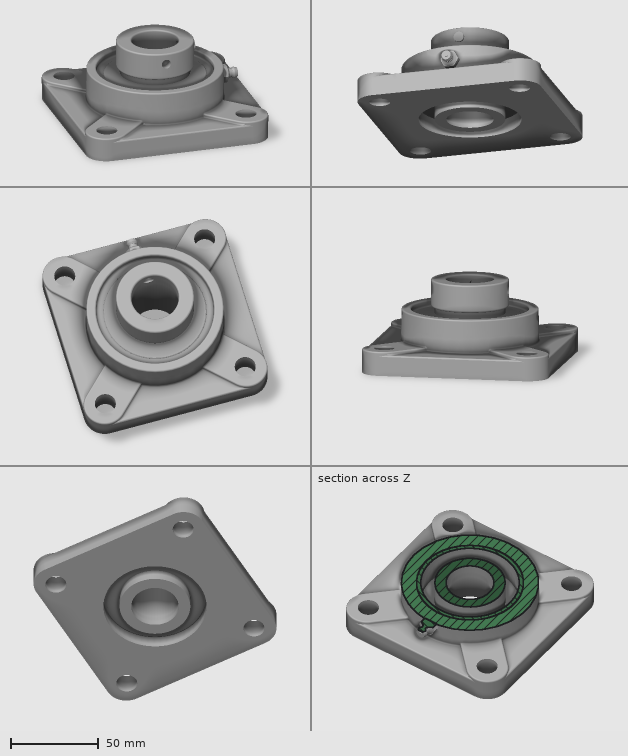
import cadquery as cq
import math

plate_side = 108.0
plate_height = 11.9
pad_height = 13.8
pad_angles = (45, 135, 225, 315)
corner_radius = 12.0
bolt_hole_diameter = 12.0
bolt_hole_offset = 41.5
pad_foot_start = 36.2
cast_fillet = 0.9

boss_height = 31.1
boss_top_radius = 39.1
boss_base_radius = 39.6
recess_floor = 27.3
recess_diameter = 67.3
recess_fillet = 1.0
mouth_diameter = 69.1

bearing_height = 17.9
ring_width = 19.7
ring_sphere_radius = 31.0
ring_bore_diameter = 55.8
ring_edge_chamfer = 0.4
inner_ring_length = 2 * bearing_height
neck_diameter = 40.3
shaft_diameter = 27.0
seal_thickness = 1.1
seal_bulge = 0.5

collar_diameter = 44.5
collar_bottom = 32.1
collar_top = 48.1
collar_top_fillet = 1.0
collar_bottom_fillet = 1.3
drive_hole_diameter = 5.4
drive_hole_height = 41.7
drive_hole_depth = 4.3
screw_diameter = 6.0
screw_height = 42.1
screw_inner_end = 17.9
screw_outer_end = 23.1

nipple_height = 21.9
hex_across_corners = 10.8
hex_chamfer = 0.4
hex_inner_end = 38.8
hex_outer_end = 42.4
shoulder_diameter = 8.9
nipple_neck_diameter = 5.0
head_edge_diameter = 5.4
head_diameter = 6.5
tip_diameter = 2.5
shoulder_end = 43.7
neck_start = 44.6
head_start = 45.5
head_middle = 46.8
head_end = 48.7
tip_end = 49.1

ring_top = bearing_height + ring_width / 2
ring_bottom = bearing_height - ring_width / 2
pad_reach = math.sqrt(2) * (plate_side / 2 - corner_radius)
mouth_fillet = (mouth_diameter - recess_diameter) / 2
seat_edge_radius = math.sqrt(ring_sphere_radius**2 - (ring_width / 2) ** 2)


def disc(radius, bottom, top):
    """Solid cylinder on the Z axis between two heights."""
    return cq.Workplane("XY", origin=(0, 0, bottom)).circle(radius).extrude(top - bottom)


def rounded_square(side, height, radius):
    """Square block on the base plane with rounded vertical edges."""
    return cq.Workplane("XY").rect(side, side).extrude(height).edges("|Z").fillet(radius)


def make_plate():
    plate = rounded_square(plate_side, plate_height, corner_radius)
    return plate.faces(">Z").edges().fillet(cast_fillet)


def make_pad(angle):
    """Raised pad from the plate centre to one corner, with the corner's own radius."""
    pad = (
        cq.Workplane("XY")
        .moveTo(0, -corner_radius)
        .lineTo(pad_reach, -corner_radius)
        .threePointArc((pad_reach + corner_radius, 0), (pad_reach, corner_radius))
        .lineTo(0, corner_radius)
        .close()
        .extrude(pad_height)
    )
    pad = pad.faces(">Z").edges("not <X").fillet(cast_fillet)
    return pad.rotate((0, 0, 0), (0, 0, 1), angle)


def make_pad_foot(angle):
    """Concave strip that rounds the two sides and the outer end of a pad into the plate."""
    inner = corner_radius - cast_fillet / 2
    outer = corner_radius + cast_fillet
    sag = cast_fillet * (1 - math.sqrt(0.5))
    section = (
        cq.Workplane("YZ", origin=(pad_reach, 0, 0))
        .moveTo(inner, plate_height)
        .lineTo(outer, plate_height)
        .threePointArc(
            (corner_radius + sag, plate_height + sag), (corner_radius, plate_height + cast_fillet)
        )
        .lineTo(inner, plate_height + cast_fillet)
        .close()
    )
    side = section.extrude(pad_foot_start - pad_reach)
    end = section.toPending().revolve(180, (0, 0, 0), (0, -1, 0))
    foot = side.union(side.mirror("XZ")).union(end).rotate((0, 0, 0), (0, 0, 1), angle)
    flat_side = plate_side - 2 * cast_fillet
    return foot.intersect(rounded_square(flat_side, pad_height, corner_radius - cast_fillet))


def make_boss():
    boss = (
        cq.Workplane("XZ")
        .lineTo(boss_base_radius, 0)
        .lineTo(boss_top_radius, boss_height)
        .lineTo(0, boss_height)
        .close()
        .revolve(360, (0, 0, 0), (0, 1, 0))
    )
    return boss.faces(">Z").edges().fillet(cast_fillet)


def make_recess():
    """Pocket above the bearing, rounded at its floor and widened by a round at its mouth."""
    wall = recess_diameter / 2
    sag = mouth_fillet * (1 - math.sqrt(0.5))
    recess = disc(wall, recess_floor, boss_height).faces("<Z").edges().fillet(recess_fillet)
    mouth = (
        cq.Workplane("XZ")
        .moveTo(0, boss_height - mouth_fillet)
        .lineTo(wall, boss_height - mouth_fillet)
        .threePointArc((wall + sag, boss_height - sag), (wall + mouth_fillet, boss_height))
        .lineTo(0, boss_height)
        .close()
        .revolve(360, (0, 0, 0), (0, 1, 0))
    )
    return recess.union(mouth)


def make_seat():
    """Spherical bearing seat, open below through a plain bore."""
    sphere = cq.Workplane("XY", origin=(0, 0, bearing_height)).sphere(ring_sphere_radius)
    seat = sphere.intersect(disc(ring_sphere_radius, ring_bottom, ring_top))
    return seat.union(disc(seat_edge_radius, 0, ring_bottom))


def is_boss_foot(edge):
    """True for an edge where the boss wall meets the plate or a pad."""
    ends = (edge.startPoint(), edge.endPoint())
    on_wall = all(boss_top_radius < math.hypot(end.x, end.y) < boss_base_radius for end in ends)
    box = edge.BoundingBox()
    tolerance = cast_fillet / 8
    return on_wall and box.zmin > plate_height - tolerance and box.zmax < pad_height + tolerance


def make_housing(nipple):
    body = make_plate()
    for angle in pad_angles:
        body = body.union(make_pad(angle))
    body = body.union(make_boss())
    body = body.edges().filter(is_boss_foot).fillet(cast_fillet)
    for angle in pad_angles:
        body = body.union(make_pad_foot(angle))
    body = body.cut(make_recess()).cut(make_seat())
    holes = (
        cq.Workplane("XY")
        .rect(2 * bolt_hole_offset, 2 * bolt_hole_offset, forConstruction=True)
        .vertices()
        .circle(bolt_hole_diameter / 2)
        .extrude(pad_height)
    )
    return body.cut(holes).cut(nipple)


def make_outer_ring():
    sphere = cq.Workplane("XY", origin=(0, 0, bearing_height)).sphere(ring_sphere_radius)
    ring = sphere.intersect(disc(ring_sphere_radius, ring_bottom, ring_top))
    ring = ring.faces("<Z or >Z").edges().chamfer(ring_edge_chamfer)
    return ring.cut(disc(ring_bore_diameter / 2, ring_bottom, ring_top))


def make_inner_ring():
    ring = disc(neck_diameter / 2, 0, inner_ring_length)
    return ring.cut(disc(shaft_diameter / 2, 0, inner_ring_length))


def make_upper_seal():
    """Slightly domed washer that fills the gap between the two rings at their top."""
    inner_radius = neck_diameter / 2
    outer_radius = ring_bore_diameter / 2
    return (
        cq.Workplane("XZ")
        .moveTo(inner_radius, ring_top - seal_thickness)
        .lineTo(outer_radius, ring_top - seal_thickness)
        .lineTo(outer_radius, ring_top)
        .lineTo(inner_radius, ring_top + seal_bulge)
        .close()
        .revolve(360, (0, 0, 0), (0, 1, 0))
    )


def make_screw():
    length = screw_outer_end - screw_inner_end
    plane = cq.Workplane("XZ", origin=(0, screw_outer_end, screw_height))
    return plane.circle(screw_diameter / 2).extrude(length)


def make_collar():
    collar = disc(collar_diameter / 2, collar_bottom, collar_top)
    collar = collar.faces(">Z").edges().fillet(collar_top_fillet)
    collar = collar.faces("<Z").edges().fillet(collar_bottom_fillet)
    collar = collar.cut(disc(shaft_diameter / 2, collar_bottom, collar_top))
    bore_rim = cq.selectors.RadiusNthSelector(0)
    collar = collar.faces(">Z").edges(bore_rim).fillet(collar_top_fillet)
    collar = collar.cut(disc(neck_diameter / 2, collar_bottom, inner_ring_length))
    screw_hole = (
        cq.Workplane("XZ", origin=(0, 0, screw_height))
        .circle(screw_diameter / 2)
        .extrude(-collar_diameter / 2)
    )
    drive_hole = (
        cq.Workplane("YZ", origin=(collar_diameter / 2, 0, drive_hole_height))
        .circle(drive_hole_diameter / 2)
        .extrude(-drive_hole_depth)
    )
    return collar.cut(screw_hole).cut(drive_hole)


def make_nipple():
    hex_face = cq.Workplane("XZ", origin=(0, hex_outer_end, nipple_height))
    hex_length = hex_outer_end - hex_inner_end
    corner_rounding = hex_face.circle(hex_across_corners / 2).extrude(hex_length)
    corner_rounding = corner_rounding.faces(">Y").edges().chamfer(hex_chamfer)
    hexagon = hex_face.polygon(6, hex_across_corners).extrude(hex_length).intersect(corner_rounding)
    stem = (
        cq.Workplane("XY", origin=(0, 0, nipple_height))
        .moveTo(0, hex_outer_end)
        .lineTo(shoulder_diameter / 2, hex_outer_end)
        .lineTo(head_edge_diameter / 2, shoulder_end)
        .lineTo(head_edge_diameter / 2, neck_start)
        .lineTo(nipple_neck_diameter / 2, neck_start)
        .lineTo(nipple_neck_diameter / 2, head_start)
        .lineTo(head_edge_diameter / 2, head_start)
        .lineTo(head_diameter / 2, head_middle)
        .lineTo(head_edge_diameter / 2, head_end)
        .lineTo(tip_diameter / 2, head_end)
        .lineTo(tip_diameter / 2, tip_end)
        .lineTo(0, tip_end)
        .close()
        .revolve(360, (0, 0, 0), (0, 1, 0))
    )
    return hexagon.union(stem)


nipple = make_nipple()
housing = make_housing(nipple)
outer_ring = make_outer_ring()
inner_ring = make_inner_ring()
upper_seal = make_upper_seal()
lower_seal = upper_seal.mirror("XY", (0, 0, bearing_height))
collar = make_collar()
screw = make_screw()

result = cq.Compound.makeCompound(
    [
        housing.val(),
        outer_ring.val(),
        inner_ring.val(),
        upper_seal.val(),
        lower_seal.val(),
        collar.val(),
        screw.val(),
        nipple.val(),
    ]
)